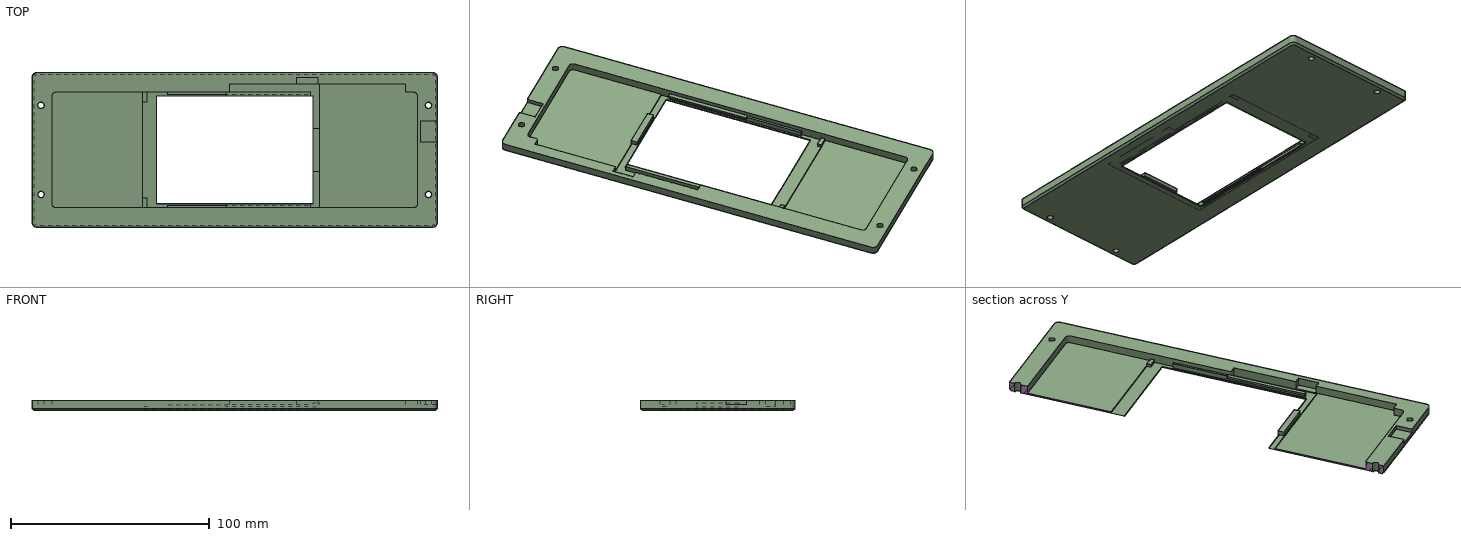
import cadquery as cq
LENGTH = 204.0
WIDTH = 78.0
HEIGHT = 5.0
CORNER_RADIUS = 2.5
BOTTOM_CHAMFER = 1.0

FLOOR_TOP = 1.0
BED_TOP = 0.5
POCKET_LENGTH = 184.0
POCKET_WIDTH = 58.1
POCKET_RADIUS = 2.0
BED_LEFT = -46.5
BED_RIGHT = 42.6
WINDOW_LENGTH = 78.5
WINDOW_WIDTH = 54.0

RECESS_LEFT = -2.7
RECESS_RIGHT = 85.9
RECESS_Y = 33.0
RECESS_RADIUS = 0.92
NOTCH_LEFT = 31.0
NOTCH_RIGHT = 42.0
NOTCH_Y = 36.5

END_NOTCH_LEFT = 93.5
END_NOTCH_Y_MIN = 4.0
END_NOTCH_Y_MAX = 14.5
END_NOTCH_FLOOR = 3.0

HOLE_DIAMETER = 3.0
HOLE_X = 97.5
HOLE_Y = 22.5

TAB_LENGTH = 2.2
TAB_WIDTH = 4.9
TAB_TOP = 2.0

CLIP_LEFT = 39.4
CLIP_WIDTH = 21.6
CLIP_BOTTOM = 1.6
CLIP_TOP = 3.7

GUIDE_LEFT = -33.9
GUIDE_Y = 28.0
GUIDE_TOP = 2.9
LIP_LEFT = -4.3
LIP_RIGHT = 38.1
LIP_Y = 27.1
LIP_BOTTOM = 2.0
LIP_TOP = 3.0

POCKET_Y = POCKET_WIDTH / 2


def block(x_min, x_max, y_min, y_max, z_min, z_max):
    size = (x_max - x_min, y_max - y_min, z_max - z_min)
    return cq.Workplane("XY").box(*size, centered=False).translate((x_min, y_min, z_min))


def make_pocket():
    pocket = cq.Workplane("XY").box(POCKET_LENGTH, POCKET_WIDTH, HEIGHT, centered=(True, True, False))
    pocket = pocket.edges("|Z").fillet(POCKET_RADIUS)
    pocket = pocket.union(block(RECESS_LEFT, RECESS_RIGHT, 0, RECESS_Y, 0, HEIGHT))
    margin = 0.2
    recess_mouth = cq.selectors.BoxSelector(
        (RECESS_LEFT - margin, POCKET_Y - margin, -margin),
        (RECESS_RIGHT + margin, POCKET_Y + margin, HEIGHT + margin),
    )
    pocket = pocket.edges(recess_mouth).edges("|Z").fillet(RECESS_RADIUS)
    return pocket.translate((0, 0, FLOOR_TOP))


def make_frame():
    frame = cq.Workplane("XY").box(LENGTH, WIDTH, HEIGHT, centered=(True, True, False))
    frame = frame.edges("|Z").fillet(CORNER_RADIUS)
    frame = frame.faces("<Z").edges().chamfer(BOTTOM_CHAMFER)
    frame = frame.cut(make_pocket())
    frame = frame.cut(block(BED_LEFT, BED_RIGHT, -POCKET_Y, POCKET_Y, BED_TOP, HEIGHT))
    frame = frame.cut(block(RECESS_LEFT, BED_RIGHT, 0, RECESS_Y, BED_TOP, HEIGHT))
    frame = frame.cut(block(NOTCH_LEFT, NOTCH_RIGHT, 0, NOTCH_Y, FLOOR_TOP, HEIGHT))
    frame = frame.cut(
        block(END_NOTCH_LEFT, LENGTH / 2, END_NOTCH_Y_MIN, END_NOTCH_Y_MAX, END_NOTCH_FLOOR, HEIGHT)
    )
    window = cq.Workplane("XY").rect(WINDOW_LENGTH, WINDOW_WIDTH).extrude(HEIGHT)
    holes = (
        cq.Workplane("XY")
        .rect(2 * HOLE_X, 2 * HOLE_Y, forConstruction=True)
        .vertices()
        .circle(HOLE_DIAMETER / 2)
        .extrude(HEIGHT)
    )
    return frame.cut(window).cut(holes)


def make_tab():
    return block(BED_LEFT, BED_LEFT + TAB_LENGTH, POCKET_Y - TAB_WIDTH, POCKET_Y, BED_TOP, TAB_TOP)


def make_rail():
    guide = block(GUIDE_LEFT, LIP_LEFT, GUIDE_Y, POCKET_Y, BED_TOP, GUIDE_TOP)
    support = block(LIP_LEFT, LIP_RIGHT, GUIDE_Y, POCKET_Y, BED_TOP, LIP_BOTTOM)
    lip = block(LIP_LEFT, LIP_RIGHT, LIP_Y, POCKET_Y, LIP_BOTTOM, LIP_TOP)
    return guide.union(support).union(lip)


def make_clip():
    return block(CLIP_LEFT, BED_RIGHT, -CLIP_WIDTH / 2, CLIP_WIDTH / 2, CLIP_BOTTOM, CLIP_TOP)


frame = make_frame()
clip = make_clip()
tabs = [make_tab(), make_tab().mirror("XZ")]
rails = [make_rail(), make_rail().mirror("XZ")]

result = cq.Compound.makeCompound(
    [frame.val(), clip.val()] + [body.val() for body in tabs + rails]
)